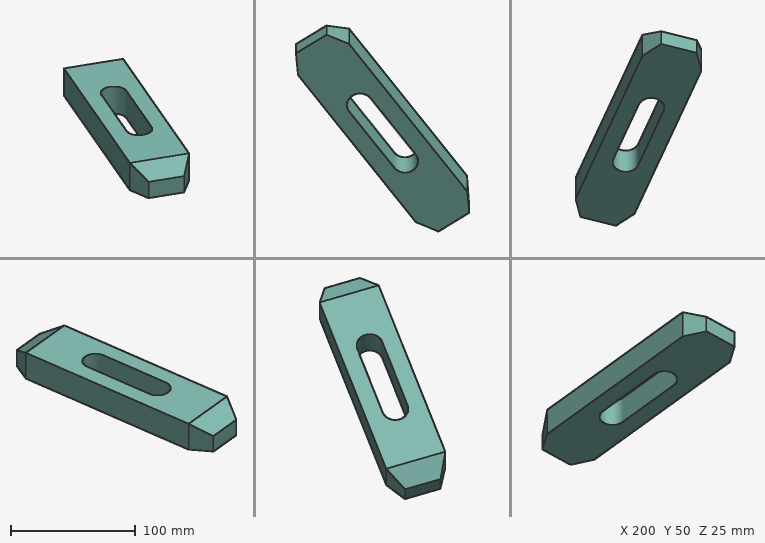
import cadquery as cq
import math

length = 200.0
width = 50.0
height = 25.0

taper_depth = 10.0
taper_angle = 30.0
taper_length = taper_depth / math.tan(math.radians(taper_angle))

slot_length = 84.0
slot_width = 21.0


def tapered_plan():
    """Full-height block with its four vertical corners cut off."""
    half_length = length / 2
    half_width = width / 2
    shoulder = half_length - taper_length
    nose = half_width - taper_depth
    outline = [
        (-half_length, -nose),
        (-shoulder, -half_width),
        (shoulder, -half_width),
        (half_length, -nose),
        (half_length, nose),
        (shoulder, half_width),
        (-shoulder, half_width),
        (-half_length, nose),
    ]
    return cq.Workplane("XY").polyline(outline).close().extrude(height)


def sloped_profile():
    """Full-width block with its two upper end edges cut off."""
    half_length = length / 2
    shoulder = half_length - taper_length
    nose_height = height - taper_depth
    outline = [
        (-half_length, 0),
        (half_length, 0),
        (half_length, nose_height),
        (shoulder, height),
        (-shoulder, height),
        (-half_length, nose_height),
    ]
    return cq.Workplane("XZ").polyline(outline).close().extrude(width / 2, both=True)


def slot():
    """Through slot along the length of the block."""
    return cq.Workplane("XY").slot2D(slot_length, slot_width).extrude(height)


result = tapered_plan().intersect(sloped_profile()).cut(slot())